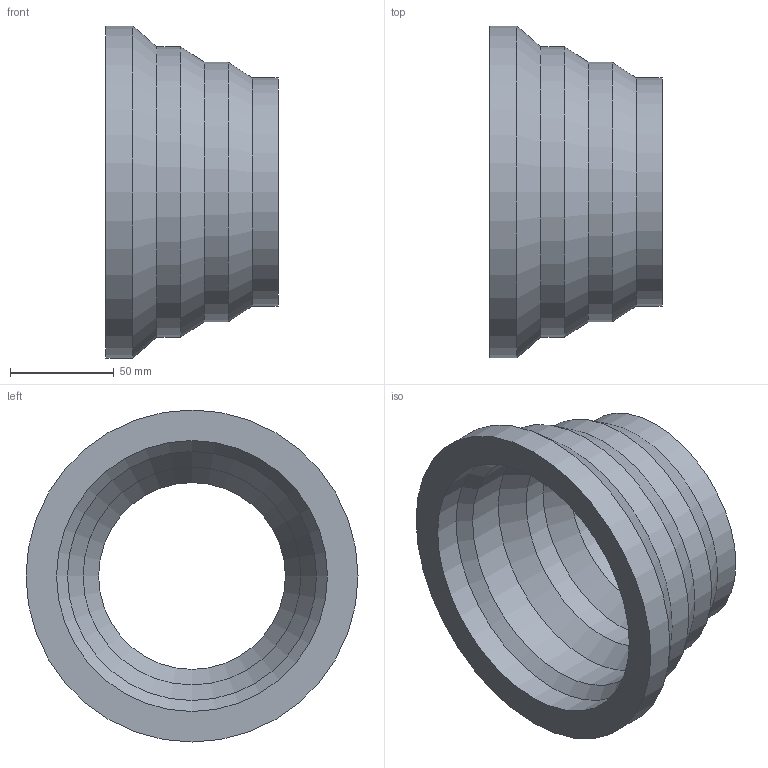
import cadquery as cq

flange_radius = 80.0
band_radius = 70.0
radius_step = 7.5
wall = 10.0
mouth_bore_radius = 65.3

total_length = 83.0
flange_length = 13.0
segment_length = 11.5
mouth_bore_length = 12.5
mouth_cone_length = 6.0

outer_radii = [flange_radius, band_radius, band_radius - radius_step, band_radius - 2 * radius_step]
inner_radii = [mouth_bore_radius] + [radius - wall for radius in outer_radii[1:]]

outer_cones = []
for index in range(len(outer_radii) - 1):
    cone_start = flange_length + 2 * index * segment_length
    outer_cones.append((cone_start, cone_start + segment_length))

mouth_cone = (mouth_bore_length, mouth_bore_length + mouth_cone_length)
inner_cones = [mouth_cone] + outer_cones[1:]


def stepped_solid(radii, cones):
    """Solid of revolution about X with straight bands joined by cones."""
    points = [(0, 0), (0, radii[0])]
    for index, (cone_start, cone_end) in enumerate(cones):
        points.append((cone_start, radii[index]))
        points.append((cone_end, radii[index + 1]))
    points.append((total_length, radii[-1]))
    points.append((total_length, 0))
    return cq.Workplane("XY").polyline(points).close().revolve(360, (0, 0, 0), (1, 0, 0))


body = stepped_solid(outer_radii, outer_cones)
bore = stepped_solid(inner_radii, inner_cones)
result = body.cut(bore)